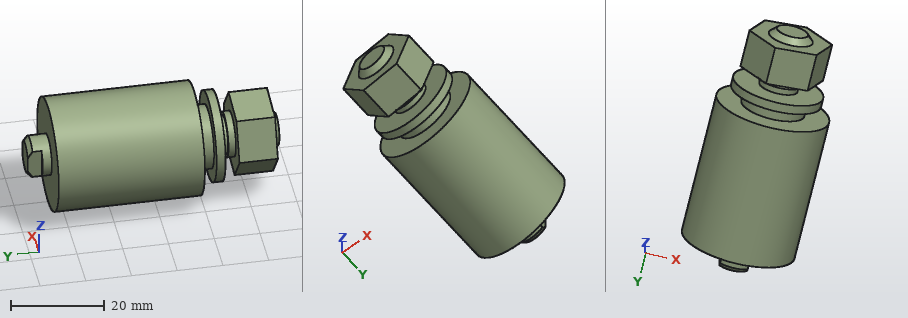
import cadquery as cq
import math

total_length = 55.0

tip_length = 1.45
tip_end_diameter = 6.9
tip_base_diameter = 9.75

nut_length = 8.4
nut_across_flats = 16.0
nut_turn = 8.0

washer_length = 1.6
washer_diameter = 10.0
neck_length = 1.6
neck_diameter = 8.5
flange_length = 2.0
flange_diameter = 20.0
collar_length = 3.0
collar_diameter = 14.0
body_diameter = 25.0

stub_length = 5.0
stub_diameter = 9.0
stub_chamfer = 1.05
tang_length = 3.0
tang_thickness = 6.1

front_length = (
    tip_length + nut_length + washer_length + neck_length + flange_length + collar_length
)
body_length = total_length - front_length - stub_length


def plane_at(y):
    """Plane across the axis at y, with its normal along +Y and its x along +X."""
    return cq.Plane(origin=(0, y, 0), xDir=(1, 0, 0), normal=(0, 1, 0))


def disc(y, length, diameter):
    return cq.Workplane(plane_at(y)).circle(diameter / 2).extrude(length)


def stud_tip():
    profile = [
        (0, 0),
        (tip_end_diameter / 2, 0),
        (tip_base_diameter / 2, tip_length),
        (0, tip_length),
    ]
    return cq.Workplane("XY").polyline(profile).close().revolve(360, (0, 0), (0, 1))


def hexagon_nut():
    corner_diameter = nut_across_flats / math.cos(math.pi / 6)
    nut = cq.Workplane(plane_at(tip_length)).polygon(6, corner_diameter).extrude(nut_length)
    return nut.rotate((0, 0, 0), (0, 1, 0), -nut_turn)


def rear_stub():
    stub = disc(total_length - stub_length, stub_length, stub_diameter)
    stub = stub.faces(">Y").chamfer(stub_chamfer)
    for side in (-1, 1):
        waste = cq.Workplane("XY").box(stub_diameter, tang_length, stub_diameter)
        x_center = side * (tang_thickness + stub_diameter) / 2
        stub = stub.cut(waste.translate((x_center, total_length - tang_length / 2, 0)))
    return stub


result = stud_tip().union(hexagon_nut())

round_sections = [
    (washer_length, washer_diameter),
    (neck_length, neck_diameter),
    (flange_length, flange_diameter),
    (collar_length, collar_diameter),
    (body_length, body_diameter),
]
section_start = tip_length + nut_length
for length, diameter in round_sections:
    result = result.union(disc(section_start, length, diameter))
    section_start += length

result = result.union(rear_stub())